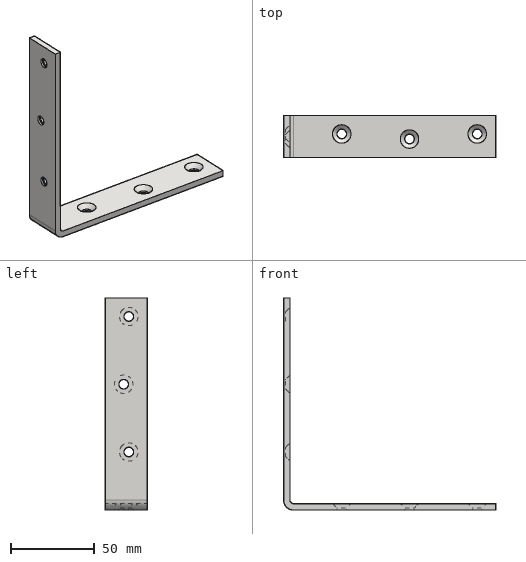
import cadquery as cq

leg_length = 127.0
width = 25.4
thickness = 4.0
inner_bend_radius = 2.0
outer_bend_radius = inner_bend_radius + thickness

hole_diameter = 5.6
countersink_diameter = 11.0
countersink_angle = 90.0
end_hole_inset = 11.2
holes_per_leg = 3
hole_spacing = 40.5
hole_stagger = 1.5


def bent_strip():
    """L-shaped strip with its outer corner at the origin, centred on Y."""
    outline = (
        cq.Workplane("XZ")
        .lineTo(leg_length, 0)
        .lineTo(leg_length, thickness)
        .lineTo(thickness, thickness)
        .lineTo(thickness, leg_length)
        .lineTo(0, leg_length)
        .close()
    )
    strip = outline.extrude(width / 2, both=True)
    inner_corner = cq.selectors.NearestToPointSelector((thickness, 0, thickness))
    strip = strip.edges("|Y").edges(inner_corner).fillet(inner_bend_radius)
    outer_corner = cq.selectors.NearestToPointSelector((0, 0, 0))
    return strip.edges("|Y").edges(outer_corner).fillet(outer_bend_radius)


def drill_leg(body, inner_face, stagger):
    """Drill the staggered holes; local x runs along the leg from the outer corner."""
    points = []
    for index in range(holes_per_leg):
        along_leg = leg_length - end_hole_inset - index * hole_spacing
        side = -stagger if index % 2 else stagger
        points.append((along_leg, side))
    return (
        body.copyWorkplane(cq.Workplane(inner_face))
        .pushPoints(points)
        .cskHole(hole_diameter, countersink_diameter, countersink_angle, depth=thickness)
    )


horizontal_leg_face = cq.Plane(origin=(0, 0, thickness), xDir=(1, 0, 0), normal=(0, 0, 1))
vertical_leg_face = cq.Plane(origin=(thickness, 0, 0), xDir=(0, 0, 1), normal=(1, 0, 0))

result = bent_strip()
result = drill_leg(result, horizontal_leg_face, hole_stagger)
result = drill_leg(result, vertical_leg_face, hole_stagger)